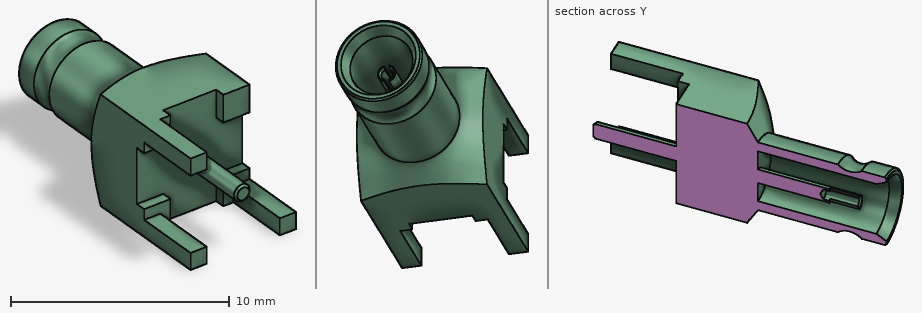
import cadquery as cq
import math


total_length = 14.6
block_width = 6.0
half_width = block_width / 2

barrel_radius = 2.06
rim_chamfer = 0.09
groove_start = 1.24
groove_end = 2.42
groove_depth = 0.23
shoulder_x = 6.4

cone_angle = 60.0
envelope_clearance = 0.15
block_end = 11.02

bore_radius = 1.49
bore_mouth_radius = 1.78
bore_mouth_depth = 0.51
bore_floor = shoulder_x

contact_radius = 0.42
contact_tip = 1.39
contact_mouth_radius = 0.38
contact_hole_radius = 0.28
contact_hole_depth = 1.75
drill_tip_angle = 118.0
slot_width = 0.22
slot_depth = 1.46

relief_width = 3.01
relief_depth = 0.55
relief_floor = block_end - relief_depth

leg_size = 0.92
pin_radius = 0.45
pin_chamfer = 0.12


def revolve_about_x(profile):
    """Revolve a closed XY profile a full turn about the X axis."""
    return profile.close().revolve(360, (0, 0, 0), (1, 0, 0))


def box_from(x_start, x_end, y_size, z_size, y=0, z=0):
    """Box spanning x_start to x_end, centred on (y, z)."""
    length = x_end - x_start
    return cq.Workplane("XY").box(length, y_size, z_size).translate((x_start + length / 2, y, z))


def make_barrel():
    groove_middle = (groove_start + groove_end) / 2
    return revolve_about_x(
        cq.Workplane("XY")
        .lineTo(0, barrel_radius - rim_chamfer)
        .lineTo(rim_chamfer, barrel_radius)
        .lineTo(groove_start, barrel_radius)
        .threePointArc((groove_middle, barrel_radius - groove_depth), (groove_end, barrel_radius))
        .lineTo(shoulder_x, barrel_radius)
        .lineTo(shoulder_x, 0)
    )


def make_block():
    """Square block whose front is trimmed by a cone widening from the barrel."""
    envelope_radius = half_width * math.sqrt(2) + envelope_clearance
    cone_length = (envelope_radius - barrel_radius) / math.tan(math.radians(cone_angle))
    envelope = revolve_about_x(
        cq.Workplane("XY")
        .moveTo(shoulder_x, 0)
        .lineTo(shoulder_x, barrel_radius)
        .lineTo(shoulder_x + cone_length, envelope_radius)
        .lineTo(block_end, envelope_radius)
        .lineTo(block_end, 0)
    )
    return box_from(shoulder_x, block_end, block_width, block_width).intersect(envelope)


def make_bore():
    return revolve_about_x(
        cq.Workplane("XY")
        .lineTo(0, bore_mouth_radius)
        .lineTo(bore_mouth_depth, bore_radius)
        .lineTo(bore_floor, bore_radius)
        .lineTo(bore_floor, 0)
    )


def make_contact():
    """Centre contact with a countersunk blind hole and a slot across its tip."""
    countersink_end = contact_tip + contact_mouth_radius - contact_hole_radius
    hole_end = contact_tip + contact_hole_depth
    drill_tip = contact_hole_radius / math.tan(math.radians(drill_tip_angle / 2))
    rod = revolve_about_x(
        cq.Workplane("XY")
        .moveTo(contact_tip, 0)
        .lineTo(contact_tip, contact_radius)
        .lineTo(bore_floor, contact_radius)
        .lineTo(bore_floor, 0)
    )
    hole = revolve_about_x(
        cq.Workplane("XY")
        .moveTo(contact_tip, 0)
        .lineTo(contact_tip, contact_mouth_radius)
        .lineTo(countersink_end, contact_hole_radius)
        .lineTo(hole_end, contact_hole_radius)
        .lineTo(hole_end + drill_tip, 0)
    )
    slot = box_from(contact_tip, contact_tip + slot_depth, slot_width, 2 * contact_radius)
    return rod.cut(hole).cut(slot)


def make_relief():
    across_y = box_from(relief_floor, block_end, block_width, relief_width)
    across_z = box_from(relief_floor, block_end, relief_width, block_width)
    return across_y.union(across_z)


def make_legs():
    """Three legs at the block corners; the +Y +Z corner has none."""
    offset = (block_width - leg_size) / 2
    legs = cq.Workplane("XY")
    for y_side, z_side in ((-1, -1), (-1, 1), (1, -1)):
        leg = box_from(relief_floor, total_length, leg_size, leg_size, y_side * offset, z_side * offset)
        legs = legs.union(leg)
    return legs


def make_pin():
    return (
        cq.Workplane("YZ", origin=(relief_floor, 0, 0))
        .circle(pin_radius)
        .extrude(total_length - relief_floor)
        .faces(">X")
        .chamfer(pin_chamfer)
    )


shell = make_barrel().union(make_block()).cut(make_bore()).cut(make_relief())
result = shell.union(make_contact()).union(make_legs()).union(make_pin())